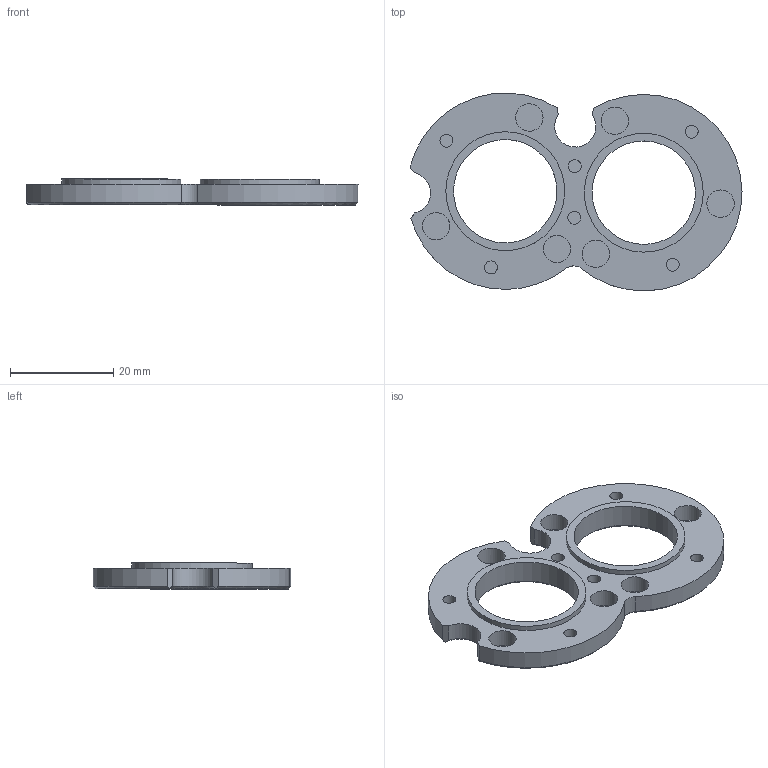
import cadquery as cq
import math

ring_spacing = 26.8
plate_radius = 19.0
plate_thickness = 4.0
bottom_chamfer = 0.5
waist_fillet = 2.5

bore_diameter = 20.0
bore_chamfer = 0.5
collar_diameter = 23.0
collar_height = 1.0

notch_radius = 4.0
notch_distance = 18.45
end_notch_angle = 181.6
corner_chamfer = 1.0

hole_circle_radius = 15.0
large_hole_diameter = 5.3
small_hole_diameter = 2.5
hole_depth = 3.5
left_large_angles = (72.5, -47.5, -152.5)
right_large_angles = (112.5, -7.5, -127.5)
left_small_angles = (140.0, -100.0)
right_small_angles = (52.5, -67.5)
center_hole_offset = 5.0

right_angle = 90.0
chamfer_taper = 45.0

turn_about_x = 0.05
turn_about_y = 0.05
turn_about_z = -0.62

left_center = (-ring_spacing / 2, 0.0)
right_center = (ring_spacing / 2, 0.0)
lobe_centers = [left_center, right_center]
waist_notch_angle = math.degrees(math.acos(ring_spacing / 2 / notch_distance))
waist_half_height = math.sqrt(plate_radius**2 - (ring_spacing / 2) ** 2)


def polar(center, radius, angle):
    """Point at a radius and an angle in degrees around a center."""
    turn = math.radians(angle)
    return (center[0] + radius * math.cos(turn), center[1] + radius * math.sin(turn))


def direction(start, end):
    """Angle in degrees of the line from start to end."""
    return math.degrees(math.atan2(end[1] - start[1], end[0] - start[0]))


def chord_angle(radius, chord):
    """Angle in degrees that a chord spans on a circle."""
    return math.degrees(2 * math.asin(chord / 2 / radius))


def cylinders(points, radius, height):
    return cq.Workplane("XY").pushPoints(points).circle(radius).extrude(height)


def corner_cutter(lobe_center, notch_center, side):
    """Block whose face is the flat across one corner of a notch mouth.

    side is +1 for the corner counterclockwise of the notch around the lobe, -1 for the other.
    """
    notch_angle = direction(lobe_center, notch_center)
    cosine = (notch_distance**2 + plate_radius**2 - notch_radius**2) / (2 * notch_distance * plate_radius)
    corner_angle = notch_angle + side * math.degrees(math.acos(cosine))
    corner = polar(lobe_center, plate_radius, corner_angle)

    rim_angle = corner_angle + side * chord_angle(plate_radius, corner_chamfer)
    rim_point = polar(lobe_center, plate_radius, rim_angle)
    wall_angle = direction(notch_center, corner) + side * chord_angle(notch_radius, corner_chamfer)
    wall_point = polar(notch_center, notch_radius, wall_angle)

    size = 2 * corner_chamfer
    middle = ((rim_point[0] + wall_point[0]) / 2, (rim_point[1] + wall_point[1]) / 2)
    outward = direction(wall_point, rim_point) - side * right_angle
    block_center = polar(middle, size / 2, outward)
    block = cq.Workplane("XY").rect(size, size).extrude(plate_thickness)
    block = block.rotate((0, 0, 0), (0, 0, 1), outward)
    return block.translate((block_center[0], block_center[1], 0))


def make_plate():
    end_notch = polar(left_center, notch_distance, end_notch_angle)
    waist_notch = polar(left_center, notch_distance, waist_notch_angle)

    plate = cylinders([left_center], plate_radius, plate_thickness)
    plate = plate.union(cylinders([right_center], plate_radius, plate_thickness))
    waist_edge = cq.selectors.NearestToPointSelector((0, -waist_half_height, plate_thickness / 2))
    plate = plate.edges("|Z").edges(waist_edge).fillet(waist_fillet)
    plate = plate.cut(cylinders([end_notch, waist_notch], notch_radius, plate_thickness))
    plate = plate.faces("<Z").edges().chamfer(bottom_chamfer)

    mouth_corners = [
        (left_center, end_notch, 1),
        (left_center, end_notch, -1),
        (left_center, waist_notch, 1),
        (right_center, waist_notch, -1),
    ]
    for lobe_center, notch_center, side in mouth_corners:
        plate = plate.cut(corner_cutter(lobe_center, notch_center, side))
    return plate


def add_collars(plate):
    collar_top = plate_thickness + collar_height
    plate = plate.union(cylinders(lobe_centers, collar_diameter / 2, collar_top))
    plate = plate.cut(cylinders(lobe_centers, bore_diameter / 2, collar_top))
    bore_mouth_radius = bore_diameter / 2 + bore_chamfer
    mouths = cq.Workplane("XY").pushPoints(lobe_centers).circle(bore_mouth_radius)
    return plate.cut(mouths.extrude(bore_chamfer, taper=chamfer_taper))


def cut_screw_holes(plate):
    large = [polar(left_center, hole_circle_radius, angle) for angle in left_large_angles]
    large += [polar(right_center, hole_circle_radius, angle) for angle in right_large_angles]
    small = [polar(left_center, hole_circle_radius, angle) for angle in left_small_angles]
    small += [polar(right_center, hole_circle_radius, angle) for angle in right_small_angles]
    small += [(0, center_hole_offset), (0, -center_hole_offset)]
    floor = (0, 0, plate_thickness - hole_depth)
    plate = plate.cut(cylinders(large, large_hole_diameter / 2, hole_depth).translate(floor))
    return plate.cut(cylinders(small, small_hole_diameter / 2, hole_depth).translate(floor))


def turn_part(part):
    part = part.rotate((0, 0, 0), (0, 0, 1), turn_about_z)
    part = part.rotate((0, 0, 0), (1, 0, 0), turn_about_x)
    return part.rotate((0, 0, 0), (0, 1, 0), turn_about_y)


result = turn_part(cut_screw_holes(add_collars(make_plate())))